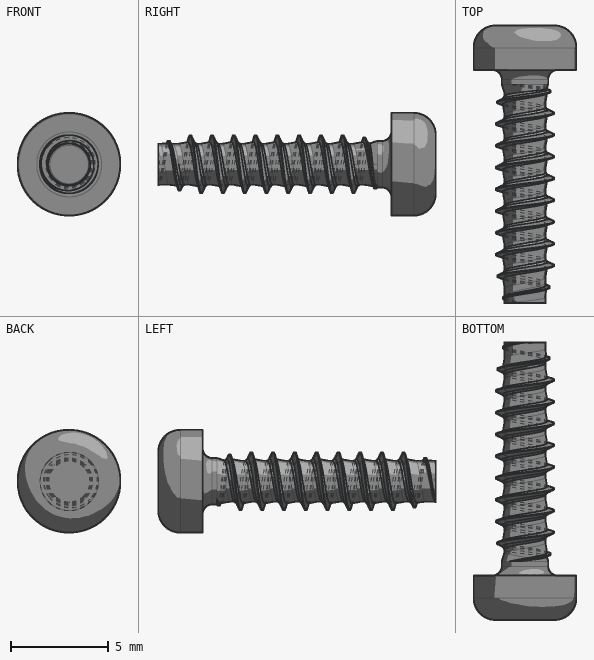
import cadquery as cq
import math


FULL_TURN = 360
LAY_DOWN_ANGLE = -90

TOTAL_LENGTH = 14.3

HEAD_DIAMETER = 5.3
HEAD_RADIUS = HEAD_DIAMETER / 2
HEAD_HEIGHT = 2.3
HEAD_ROUNDING = HEAD_HEIGHT / 2
SEAT_EDGE_ROUNDING = 0.05

NECK_RADIUS = 1.2
NECK_FILLET = 0.47
NECK_LENGTH = 0.73
CORE_RADIUS = 1.06
CORE_START = 1.19
TIP_Z = HEAD_HEIGHT - TOTAL_LENGTH
RECESS_RADIUS = 0.99
RECESS_DEPTH = 0.06

THREAD_TURNS = 10.25
THREAD_LENGTH = 11.48
LEAD = THREAD_LENGTH / THREAD_TURNS
TIP_OVERHANG = 0.03
THREAD_START_ANGLE = 90
TIP_RAMP_TURNS = 1.5
HEAD_RAMP_TURNS = 1.25
CYLINDRICAL = 360.0
BURIED_RADIUS = CORE_RADIUS - 0.03

TIP_SIDE_ROOT = (BURIED_RADIUS, -0.77)
HEAD_SIDE_ROOT = (BURIED_RADIUS, 0.35)
FULL_SECTION = [TIP_SIDE_ROOT, (1.15, -0.11), (1.5, -0.01), (1.5, 0.03), (1.16, 0.19), HEAD_SIDE_ROOT]
TIP_SECTION = [TIP_SIDE_ROOT, (1.06, -0.03), (1.07, -0.01), (1.07, 0.03), (1.05, 0.05), HEAD_SIDE_ROOT]
HEAD_SECTION = [TIP_SIDE_ROOT, (1.15, -0.05), (1.22, -0.01), (1.22, 0.03), (1.15, 0.07), HEAD_SIDE_ROOT]


def make_body():
    """Revolve the head, filleted neck and plain core, with a shallow cone sunk in the tip."""
    diagonal = math.sqrt(0.5)
    dome_center_radius = HEAD_RADIUS - HEAD_ROUNDING
    dome_center_z = HEAD_HEIGHT - HEAD_ROUNDING
    dome_middle = (dome_center_radius + HEAD_ROUNDING * diagonal, dome_center_z + HEAD_ROUNDING * diagonal)
    edge_center_radius = HEAD_RADIUS - SEAT_EDGE_ROUNDING
    edge_middle = (
        edge_center_radius + SEAT_EDGE_ROUNDING * diagonal,
        SEAT_EDGE_ROUNDING * (1 - diagonal),
    )
    fillet_outer_radius = NECK_RADIUS + NECK_FILLET
    fillet_middle = (fillet_outer_radius - NECK_FILLET * diagonal, -NECK_FILLET * (1 - diagonal))
    return (
        cq.Workplane("XZ")
        .moveTo(0, HEAD_HEIGHT)
        .lineTo(dome_center_radius, HEAD_HEIGHT)
        .threePointArc(dome_middle, (HEAD_RADIUS, dome_center_z))
        .lineTo(HEAD_RADIUS, SEAT_EDGE_ROUNDING)
        .threePointArc(edge_middle, (edge_center_radius, 0))
        .lineTo(fillet_outer_radius, 0)
        .threePointArc(fillet_middle, (NECK_RADIUS, -NECK_FILLET))
        .lineTo(NECK_RADIUS, -NECK_LENGTH)
        .lineTo(CORE_RADIUS, -CORE_START)
        .lineTo(CORE_RADIUS, TIP_Z)
        .lineTo(RECESS_RADIUS, TIP_Z)
        .lineTo(0, TIP_Z + RECESS_DEPTH)
        .close()
        .revolve(FULL_TURN, (0, 0, 0), (0, 1, 0))
    )


def ridge_point(corner, turn):
    """Place a section corner at the given number of turns along the thread."""
    radius, offset = corner
    angle = 2 * math.pi * turn
    return cq.Vector(radius * math.cos(angle), radius * math.sin(angle), LEAD * turn + offset)


def corner_helix(start_corner, end_corner, start_turn, turns):
    """Helix, cylindrical or conical, followed by one section corner."""
    start_radius, start_offset = start_corner
    end_radius, end_offset = end_corner
    rise = LEAD * turns + end_offset - start_offset
    growth = end_radius - start_radius
    slant = math.hypot(rise, growth)
    cone_angle = math.degrees(math.atan2(growth, rise)) if growth else CYLINDRICAL
    helix = cq.Wire.makeHelix(
        slant / turns,
        slant,
        start_radius,
        center=cq.Vector(0, 0, LEAD * start_turn + start_offset),
        angle=cone_angle,
    )
    return helix.rotate(cq.Vector(0, 0, 0), cq.Vector(0, 0, 1), FULL_TURN * start_turn)


def ridge_faces(start_section, end_section, start_turn, turns):
    """Helical strips joining neighbouring corners of two ridge sections."""
    helices = [
        corner_helix(start_corner, end_corner, start_turn, turns)
        for start_corner, end_corner in zip(start_section, end_section)
    ]
    return [
        cq.Face.makeRuledSurface(helix, neighbour)
        for helix, neighbour in zip(helices, helices[1:] + helices[:1])
    ]


def ridge_cap(section, turn):
    """Flat face that closes the ridge at one end."""
    points = [ridge_point(corner, turn) for corner in section]
    return cq.Face.makeFromWires(cq.Wire.makePolygon(points, close=True))


def make_thread():
    """Build the ridge and trim it between the tip and the plain neck."""
    full_turns = THREAD_TURNS - TIP_RAMP_TURNS - HEAD_RAMP_TURNS
    head_ramp_turn = TIP_RAMP_TURNS + full_turns
    faces = [ridge_cap(TIP_SECTION, 0), ridge_cap(HEAD_SECTION, THREAD_TURNS)]
    faces += ridge_faces(TIP_SECTION, FULL_SECTION, 0, TIP_RAMP_TURNS)
    faces += ridge_faces(FULL_SECTION, FULL_SECTION, TIP_RAMP_TURNS, full_turns)
    faces += ridge_faces(FULL_SECTION, HEAD_SECTION, head_ramp_turn, HEAD_RAMP_TURNS)
    ridge = cq.Solid.makeSolid(cq.Shell.makeShell(faces))
    ridge = (
        cq.Workplane(obj=ridge)
        .rotate((0, 0, 0), (0, 0, 1), THREAD_START_ANGLE)
        .translate((0, 0, TIP_Z - TIP_OVERHANG))
    )
    threaded_zone = (
        cq.Workplane("XY", origin=(0, 0, TIP_Z))
        .circle(HEAD_RADIUS)
        .extrude(-NECK_LENGTH - TIP_Z)
    )
    return ridge.intersect(threaded_zone)


screw = make_body().union(make_thread())
result = screw.rotate((0, 0, 0), (1, 0, 0), LAY_DOWN_ANGLE).solids()